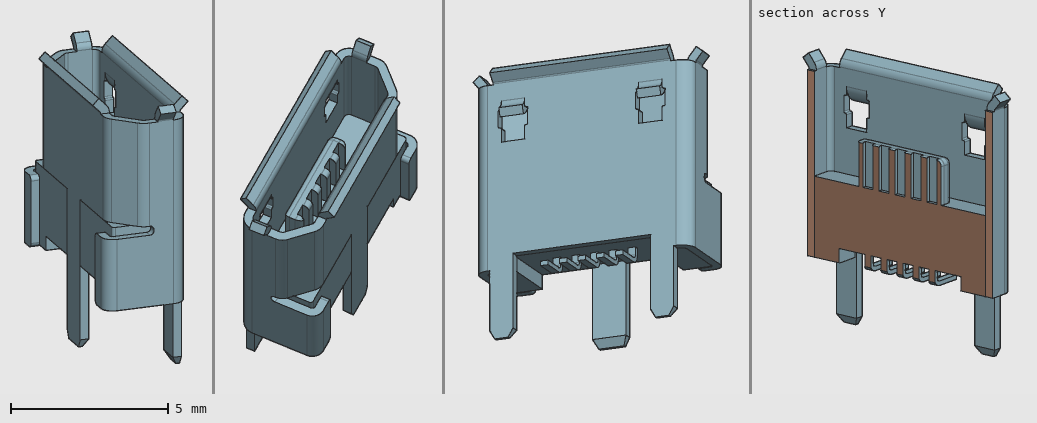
import cadquery as cq
import math

MARGIN = 0.01

SHEET = 0.3
STRIP_ROOT = 0.045
SHELL_WIDTH = 7.51
SHELL_DEPTH = 2.45
TOTAL_HEIGHT = 9.03
MOUTH_Z = 8.5
FRONT_WALL_Z = 5.01
SIDE_WALL_Z = 2.3
BACK_WALL_Z = 2.78
BACK_RADIUS = 0.48
FRONT_BEVEL = 0.93
BEVEL_RADIUS = 0.5

TAB_PROJECTION = 0.36
TAB_RADIUS = 0.4
TAB_END_X = 2.84
TAB_CORNER_RADIUS = 0.15
SLOT_HEIGHT = 0.3
SLOT_END_RADIUS = 0.14
SLOT_END_Y = 1.3

LIP_BEND_RADIUS = 0.06
LIP_BEND_Z = 8.52
LONG_LIP_ANGLE = 45.0
SIDE_LIP_ANGLE = 40.0
FRONT_LIP_WIDTH = 4.79
BACK_LIP_WIDTH = 6.18
SIDE_LIP_WIDTH = 0.52
SIDE_LIP_Y = 1.7

WINDOW_X = 2.39
WINDOW_TOP_Z = 7.92
WINDOW_WIDTH = 0.81
WINDOW_HEIGHT = 1.37
WIDE_WINDOW_WIDTH = 1.03
WIDE_WINDOW_HEIGHT = 0.6
WIDE_WINDOW_Z = 7.32
WINDOW_CORNER_RADIUS = 0.045
FINGER_RADIUS = 0.3
FINGER_ANGLE = 70.0

BACK_LEG_X = 2.8
BACK_LEG_WIDTH = 0.81
BACK_LEG_TIP_WIDTH = 0.47
FRONT_LEG_WIDTH = 1.17
FRONT_LEG_TIP_WIDTH = 0.88
LEG_TIP_HEIGHT = 0.29
LEG_TIP_THICKNESS = 0.13

BLOCK_BOTTOM_Z = 2.78
FOOT_INNER_X = 2.46
BLOCK_FRONT_RADIUS = 0.1
TONGUE_WIDTH = 3.41
TONGUE_FRONT_Y = 1.25
TONGUE_BACK_Y = 1.86
TONGUE_TOP_Z = 6.5
TONGUE_RADIUS = 0.21
TONGUE_TOP_RADIUS = 0.2
CONTACT_COUNT = 5
CONTACT_PITCH = 0.65
GROOVE_WIDTH = 0.38
GROOVE_DEPTH = 0.23
CONTACT_WIDTH = 0.26
CONTACT_THICKNESS = 0.15
CONTACT_FRONT_Y = 1.31
CONTACT_BOTTOM_Z = 2.24
CONTACT_BEND_RADIUS = 0.28

HALF_WIDTH = SHELL_WIDTH / 2
INNER_HALF_WIDTH = HALF_WIDTH - SHEET
BACK_INNER_Y = SHELL_DEPTH - SHEET
SLOT_BOTTOM_Z = FRONT_WALL_Z - SLOT_HEIGHT
BACK_LEG_INNER_X = BACK_LEG_X - BACK_LEG_WIDTH / 2
CONTACT_XS = [(i - (CONTACT_COUNT - 1) / 2) * CONTACT_PITCH for i in range(CONTACT_COUNT)]


def block(x_range, y_range, z_range):
    """Box between the given limits."""
    size = [high - low for low, high in (x_range, y_range, z_range)]
    return cq.Workplane().box(*size, centered=False).translate((x_range[0], y_range[0], z_range[0]))


def hollow(outer):
    """Tube with walls one sheet thick inside a prism that stands on a flat face."""
    foot = outer.faces("<Z").val().outerWire()
    height = outer.val().BoundingBox().zlen
    core = cq.Workplane(foot).toPending().offset2D(-SHEET).extrude(height)
    return outer.cut(core)


def upper_tube():
    """Mating mouth: a ring with rounded back corners and bevelled front corners."""
    outer = (
        cq.Workplane()
        .polyline([
            (-HALF_WIDTH, SHELL_DEPTH),
            (-HALF_WIDTH, FRONT_BEVEL),
            (FRONT_BEVEL - HALF_WIDTH, 0),
            (HALF_WIDTH - FRONT_BEVEL, 0),
            (HALF_WIDTH, FRONT_BEVEL),
            (HALF_WIDTH, SHELL_DEPTH),
        ])
        .close()
        .extrude(MOUTH_Z - FRONT_WALL_Z)
    )
    outer = outer.edges("|Z and >Y").fillet(BACK_RADIUS)
    bevel_corners = cq.selectors.BoxSelector(
        (-SHELL_WIDTH, -MARGIN, 0), (SHELL_WIDTH, FRONT_BEVEL + MARGIN, MOUTH_Z)
    )
    outer = outer.edges("|Z").edges(bevel_corners).fillet(BEVEL_RADIUS)
    return hollow(outer).translate((0, 0, FRONT_WALL_Z))


def lower_wrap():
    """Back and side walls below the mouth, with tabs bent round in front of the insert."""
    outer = block(
        (-HALF_WIDTH, HALF_WIDTH), (-TAB_PROJECTION, SHELL_DEPTH), (SIDE_WALL_Z, FRONT_WALL_Z)
    )
    outer = outer.edges("|Z and >Y").fillet(BACK_RADIUS)
    outer = outer.edges("|Z and <Y").fillet(TAB_RADIUS)
    wrap = hollow(outer)

    front_opening = block(
        (-TAB_END_X, TAB_END_X), (-TAB_PROJECTION, SHEET), (SIDE_WALL_Z, SLOT_BOTTOM_Z)
    )
    back_opening = block(
        (-BACK_LEG_INNER_X, BACK_LEG_INNER_X), (BACK_INNER_Y, SHELL_DEPTH), (SIDE_WALL_Z, BACK_WALL_Z)
    )
    slot = block(
        (-HALF_WIDTH, HALF_WIDTH), (-TAB_PROJECTION, SLOT_END_Y), (SLOT_BOTTOM_Z, FRONT_WALL_Z)
    )
    slot = slot.edges("|X and >Y").fillet(SLOT_END_RADIUS)
    wrap = wrap.cut(front_opening).cut(back_opening).cut(slot)

    tab_ends = cq.selectors.BoxSelector(
        (-TAB_END_X - MARGIN, -TAB_PROJECTION, 0), (TAB_END_X + MARGIN, 0, MOUTH_Z)
    )
    return wrap.edges("|Y").edges(tab_ends).fillet(TAB_CORNER_RADIUS)


def bent_strip(origin, outward, width, bend_radius, angle, straight, rise):
    """Strip rooted in a wall and running up (rise 1) or down (rise -1). It bends outward by angle,
    starting on the wall's outer face at origin, and may end in a straight stretch."""
    turn = math.radians(angle)

    def on_bend(radius, part):
        return (
            bend_radius - radius * math.cos(part * turn),
            rise * radius * math.sin(part * turn),
        )

    def straight_end(point):
        return (
            point[0] + straight * math.sin(turn),
            point[1] + rise * straight * math.cos(turn),
        )

    outside_radius = bend_radius + SHEET
    profile = (
        cq.Workplane(cq.Plane(origin, outward, cq.Vector(*outward).cross(cq.Vector(0, 0, 1))))
        .moveTo(0, -rise * STRIP_ROOT)
        .lineTo(0, 0)
        .threePointArc(on_bend(bend_radius, 0.5), on_bend(bend_radius, 1))
    )
    if straight > 0:
        profile = profile.lineTo(*straight_end(on_bend(bend_radius, 1)))
        profile = profile.lineTo(*straight_end(on_bend(outside_radius, 1)))
    profile = (
        profile.lineTo(*on_bend(outside_radius, 1))
        .threePointArc(on_bend(outside_radius, 0.5), on_bend(outside_radius, 0))
        .lineTo(-SHEET, -rise * STRIP_ROOT)
        .close()
    )
    return profile.extrude(width / 2, both=True)


def lip(origin, outward, width, angle):
    """Flared lip on the mouth edge, long enough to reach the total height."""
    turn = math.radians(angle)
    bend_rise = (LIP_BEND_RADIUS + SHEET) * math.sin(turn)
    straight = (TOTAL_HEIGHT - LIP_BEND_Z - bend_rise) / math.cos(turn)
    return bent_strip(origin, outward, width, LIP_BEND_RADIUS, angle, straight, 1)


def window(x):
    """Cutter for a back wall window: a narrow slot with a wider part that has rounded shoulders."""
    middle_y = SHELL_DEPTH - SHEET / 2
    narrow = cq.Workplane().box(WINDOW_WIDTH, SHEET, WINDOW_HEIGHT)
    narrow = narrow.translate((x, middle_y, WINDOW_TOP_Z - WINDOW_HEIGHT / 2))
    wide = cq.Workplane().box(WIDE_WINDOW_WIDTH, SHEET, WIDE_WINDOW_HEIGHT)
    wide = wide.translate((x, middle_y, WIDE_WINDOW_Z))
    shoulders = cq.selectors.BoxSelector(
        (x - WIDE_WINDOW_WIDTH, 0, WIDE_WINDOW_Z - WIDE_WINDOW_HEIGHT / 2 - MARGIN),
        (x + WIDE_WINDOW_WIDTH, SHELL_DEPTH, WIDE_WINDOW_Z + WIDE_WINDOW_HEIGHT / 2 + MARGIN),
    )
    return narrow.union(wide).edges("|Y").edges(shoulders).fillet(WINDOW_CORNER_RADIUS)


def finger(x):
    """Spring finger curling outward from the top edge of a window."""
    origin = (x, SHELL_DEPTH, WINDOW_TOP_Z)
    return bent_strip(origin, (0, 1, 0), WINDOW_WIDTH, FINGER_RADIUS, FINGER_ANGLE, 0, -1)


def leg(width, tip_width, top_z):
    """Leg centred on X = 0 with its outer face on Y = 0, its tip tapered on the other three sides."""
    front = (
        cq.Workplane("XZ")
        .polyline([
            (-width / 2, top_z),
            (-width / 2, LEG_TIP_HEIGHT),
            (-tip_width / 2, 0),
            (tip_width / 2, 0),
            (width / 2, LEG_TIP_HEIGHT),
            (width / 2, top_z),
        ])
        .close()
        .extrude(-SHEET)
    )
    side = (
        cq.Workplane("YZ")
        .polyline([
            (0, 0),
            (LEG_TIP_THICKNESS, 0),
            (SHEET, LEG_TIP_HEIGHT),
            (SHEET, top_z),
            (0, top_z),
        ])
        .close()
        .extrude(width / 2, both=True)
    )
    return front.intersect(side)


def make_shell():
    shell = upper_tube().union(lower_wrap())

    shell = shell.union(lip((0, 0, LIP_BEND_Z), (0, -1, 0), FRONT_LIP_WIDTH, LONG_LIP_ANGLE))
    shell = shell.union(lip((0, SHELL_DEPTH, LIP_BEND_Z), (0, 1, 0), BACK_LIP_WIDTH, LONG_LIP_ANGLE))
    shell = shell.union(leg(FRONT_LEG_WIDTH, FRONT_LEG_TIP_WIDTH, FRONT_WALL_Z))

    back_leg = leg(BACK_LEG_WIDTH, BACK_LEG_TIP_WIDTH, SIDE_WALL_Z).mirror("XZ")
    for side in (-1, 1):
        lip_origin = (side * HALF_WIDTH, SIDE_LIP_Y, LIP_BEND_Z)
        shell = shell.union(lip(lip_origin, (side, 0, 0), SIDE_LIP_WIDTH, SIDE_LIP_ANGLE))
        shell = shell.union(back_leg.translate((side * BACK_LEG_X, SHELL_DEPTH, 0)))
        shell = shell.cut(window(side * WINDOW_X))
        shell = shell.union(finger(side * WINDOW_X))
    return shell


def insert_block():
    """Block that fills the shell below the mouth, with a foot on each side and a front leg recess."""
    body = block(
        (-INNER_HALF_WIDTH, INNER_HALF_WIDTH), (0, BACK_INNER_Y), (SIDE_WALL_Z, FRONT_WALL_Z)
    )
    body = body.edges("|Z and >Y").fillet(BACK_RADIUS - SHEET)
    body = body.edges("|Z and <Y").fillet(BLOCK_FRONT_RADIUS)
    foot_gap = block(
        (-FOOT_INNER_X, FOOT_INNER_X), (0, BACK_INNER_Y), (SIDE_WALL_Z, BLOCK_BOTTOM_Z)
    )
    leg_recess = block(
        (-FRONT_LEG_WIDTH / 2, FRONT_LEG_WIDTH / 2), (0, SHEET), (SIDE_WALL_Z, FRONT_WALL_Z)
    )
    return body.cut(foot_gap).cut(leg_recess)


def tongue():
    """Tongue standing in the mouth, with a groove in its front face for each contact.
    Its top edge is rounded except at the left end."""
    y_range = (TONGUE_FRONT_Y, TONGUE_BACK_Y)
    z_range = (FRONT_WALL_Z, TONGUE_TOP_Z)
    outline = block((-TONGUE_WIDTH / 2, TONGUE_WIDTH / 2), y_range, z_range)
    outline = outline.edges("|Z").fillet(TONGUE_RADIUS)

    bar = block((-TONGUE_WIDTH, TONGUE_WIDTH / 2), y_range, z_range)
    bar = bar.edges("|Z and >X").fillet(TONGUE_RADIUS)
    bar = bar.faces(">Z").edges("not <X").fillet(TONGUE_TOP_RADIUS)
    body = outline.intersect(bar)

    for x in CONTACT_XS:
        groove = block(
            (x - GROOVE_WIDTH / 2, x + GROOVE_WIDTH / 2),
            (TONGUE_FRONT_Y, TONGUE_FRONT_Y + GROOVE_DEPTH),
            (FRONT_WALL_Z, TONGUE_TOP_Z),
        )
        body = body.cut(groove)
    return body


def contact_tail(x):
    """Contact tail leaving the underside of the block and bending back under the back wall."""
    x_range = (x - CONTACT_WIDTH / 2, x + CONTACT_WIDTH / 2)
    bounds = block(x_range, (CONTACT_FRONT_Y, SHELL_DEPTH), (CONTACT_BOTTOM_Z, BLOCK_BOTTOM_Z))
    bounds = bounds.edges("|X and <Y and <Z").fillet(CONTACT_BEND_RADIUS)
    inside = block(
        x_range,
        (CONTACT_FRONT_Y + CONTACT_THICKNESS, SHELL_DEPTH),
        (CONTACT_BOTTOM_Z + CONTACT_THICKNESS, BLOCK_BOTTOM_Z),
    )
    inside = inside.edges("|X and <Y and <Z").fillet(CONTACT_BEND_RADIUS - CONTACT_THICKNESS)
    return bounds.cut(inside)


def make_insert():
    insert = insert_block().union(tongue())
    for x in CONTACT_XS:
        insert = insert.union(contact_tail(x))
    return insert


shell = make_shell()
insert = make_insert()
result = cq.Compound.makeCompound([shell.val(), insert.val()])